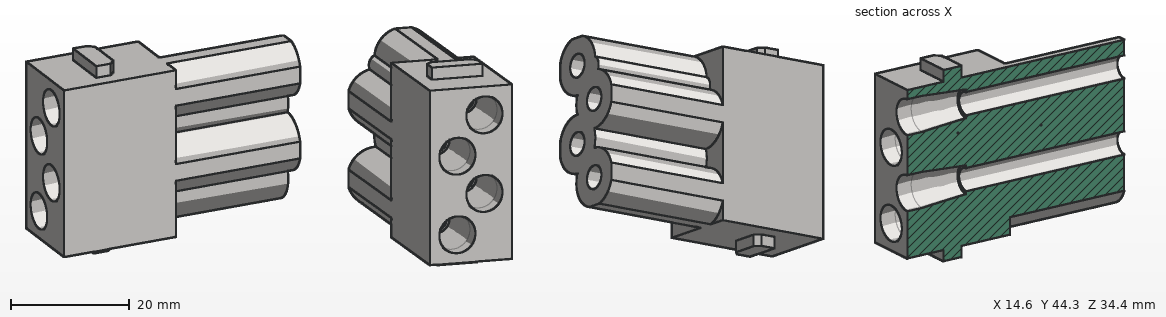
import cadquery as cq

width = 14.6
body_height = 30.3
body_length = 21.0
total_length = 44.3

chamber_count = 4
chamber_side_offset = 2.4
chamber_pitch = 6.82
barrel_radius = 5.13

entry_diameter = 6.4
taper_end_diameter = 5.1
bore_diameter = 4.1
taper_start_depth = 3.0
taper_end_depth = 12.0

rib_radius = 1.85
rib_x = -1.85
rib_z = 9.12

top_key_width = 9.0
top_key_height = 2.1
bottom_key_width = 7.0
bottom_key_height = 2.0
key_front = 7.4
key_length = 3.7
key_chamfer = 1.0


def chamber_centres():
    """Chamber axes (x, z) from the lowest to the highest."""
    lowest_z = -chamber_pitch * (chamber_count - 1) / 2
    centres = []
    for index in range(chamber_count):
        side = -1 if index % 2 == 0 else 1
        centres.append((side * chamber_side_offset, lowest_z + index * chamber_pitch))
    return centres


def rod(x, z, radius, start, end):
    """Cylinder along Y from y = start to y = end."""
    return cq.Workplane("XZ", origin=(x, start, z)).circle(radius).extrude(start - end)


def block(start, end):
    """Box with the body's width and height between two Y positions."""
    return cq.Workplane("XY").box(width, end - start, body_height).translate((0, (start + end) / 2, 0))


def rear_barrels():
    """Overlapping barrels behind the body, flattened where they reach its outline."""
    barrels = rod(rib_x, rib_z, rib_radius, body_length, total_length)
    for x, z in chamber_centres():
        barrels = barrels.union(rod(x, z, barrel_radius, body_length, total_length))
    return barrels.intersect(block(body_length, total_length))


def guide_key(key_width, base_z, height):
    """Flat key with chamfered rear corners; a negative height points down."""
    return (
        cq.Workplane("XY", origin=(0, key_front + key_length / 2, base_z))
        .rect(key_width, key_length)
        .extrude(height)
        .edges("|Z and >Y")
        .chamfer(key_chamfer)
    )


def chamber_bore(x, z):
    """Cylindrical entry, long taper, then a plain bore through to the rear."""
    profile = [
        (0, 0),
        (entry_diameter / 2, 0),
        (entry_diameter / 2, taper_start_depth),
        (taper_end_diameter / 2, taper_end_depth),
        (bore_diameter / 2, taper_end_depth),
        (bore_diameter / 2, total_length),
        (0, total_length),
    ]
    cutter = cq.Workplane("XY").polyline(profile).close().revolve(360, (0, 0, 0), (0, 1, 0))
    return cutter.translate((x, 0, z))


result = block(0, body_length).union(rear_barrels())
result = result.union(guide_key(top_key_width, body_height / 2, top_key_height))
result = result.union(guide_key(bottom_key_width, -body_height / 2, -bottom_key_height))
for centre_x, centre_z in chamber_centres():
    result = result.cut(chamber_bore(centre_x, centre_z))